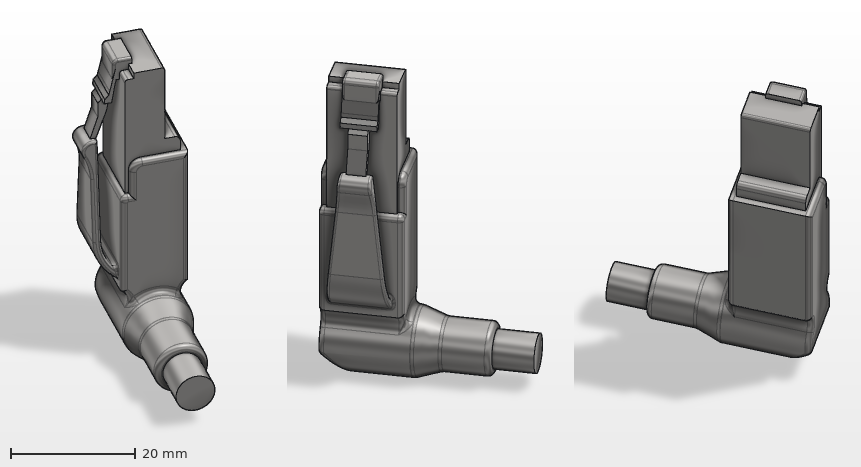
import cadquery as cq
import math

cable_radius = 3.3
cable_end = 35.0
sleeve_radius = 4.5
sleeve_end = 28.05
sleeve_end_round = 1.0
cone_start = 15.45
cone_end = 19.75
cone_blend = 1.7

bulb_radius = 5.95
housing_width = 14.0
housing_half_depth = 5.7
housing_top = 32.1
edge_round = 0.95
center_x = housing_width / 2
panel_front = -4.2
panel_round = 2.0
shoulder_top = 25.55
shoulder_round = 1.1
neck_half_depth = 4.45
neck_radius = 2.5
neck_center_y = neck_half_depth + neck_radius
neck_center_z = math.sqrt((bulb_radius + neck_radius)**2 - neck_center_y**2)
bulb_share = bulb_radius / (bulb_radius + neck_radius)
bulb_join_y = neck_center_y * bulb_share
bulb_join_z = neck_center_z * bulb_share
housing_bottom = neck_center_z + math.sqrt(neck_radius**2 - (neck_center_y - housing_half_depth)**2)
bulb_end = 15.1
collar_round = 1.05
corner_cut_height = -1.0
corner_cut_run = 5.25

plug_width = 11.6
plug_top = 48.7
plug_back = 1.95
plug_front = -4.8
plug_round = 0.55
plug_overlap = 2.8
rear_step_round = 0.95
rear_step_back = 4.6
rear_step_top = 34.8
notch_y = -3.3
notch_z = 47.65

latch_top = 55.8 - bulb_radius
latch_back = -2.75
latch_front = -5.95
latch_width = 6.1
latch_front_round = 0.9
latch_side_round = 0.45
latch_overlap = 0.55
latch_split_z = 41.75
latch_split_back = -6.15
latch_split_front = -7.4
arm_width = 3.25
arm_end_z = 32.9

lever_top_width = 5.3
lever_bottom_width = 10.95
lever_bottom_z = 7.1
lever_round = 0.45
lever_inner = -8.35
lever_outer = -9.7
lever_bend_z = 15.95
bend_radius = 7.55
waist_z = 27.5
knob_radius = 1.8
knob_y = -9.2
knob_z = 32.6
lever_top_z = knob_z + knob_radius
root_round = 0.5
root_y = -5.3

select_margin = 0.05


def side_sketch(x=0.0):
    """Workplane whose local axes are Y and Z, extruding toward +X."""
    return cq.Workplane("YZ", origin=(x, 0, 0))


def centered_prism(points, width):
    """Extrude a Y-Z polygon symmetrically about the middle of the housing."""
    return side_sketch(center_x).polyline(points).close().extrude(width / 2, both=True)


def make_housing():
    body = (
        side_sketch()
        .moveTo(bulb_join_y, bulb_join_z)
        .threePointArc((neck_half_depth, neck_center_z), (housing_half_depth, housing_bottom))
        .lineTo(housing_half_depth, housing_top)
        .lineTo(panel_front + panel_round, housing_top)
        .radiusArc((panel_front, housing_top - panel_round), -panel_round)
        .lineTo(panel_front, shoulder_top)
        .lineTo(-housing_half_depth + shoulder_round, shoulder_top)
        .radiusArc((-housing_half_depth, shoulder_top - shoulder_round), -shoulder_round)
        .lineTo(-housing_half_depth, housing_bottom)
        .threePointArc((-neck_half_depth, neck_center_z), (-bulb_join_y, bulb_join_z))
        .threePointArc((0, -bulb_radius), (bulb_join_y, bulb_join_z))
        .close()
        .extrude(housing_width)
    )
    corner_cut = (
        cq.Workplane("XZ")
        .polyline([(0, corner_cut_height), (corner_cut_run, -bulb_radius), (0, -bulb_radius)])
        .close()
        .extrude(bulb_radius, both=True)
    )
    body = body.cut(corner_cut)
    cut_face = body.faces(cq.NearestToPointSelector((corner_cut_run / 2, 0, -bulb_radius / 2)))
    body = body.faces("<X").add(cut_face).edges().fillet(edge_round)
    body = body.faces(">X").edges().fillet(edge_round)

    bulb_start = housing_width - edge_round
    bulb = side_sketch(bulb_start).circle(bulb_radius).extrude(bulb_end - bulb_start)
    body = body.union(bulb, clean=False)
    collar_edge = cq.selectors.BoxSelector(
        (housing_width - select_margin, -bulb_join_y, bulb_join_z),
        (housing_width + select_margin, bulb_join_y, housing_bottom),
        boundingbox=True,
    )
    return body.edges(collar_edge).fillet(collar_round)


def make_cable_exit():
    sleeve = (
        cq.Workplane("XY")
        .polyline([
            (bulb_end, 0), (bulb_end, bulb_radius), (cone_start, bulb_radius),
            (cone_end, sleeve_radius), (sleeve_end, sleeve_radius), (sleeve_end, 0),
        ])
        .close()
        .revolve(360, (0, 0, 0), (1, 0, 0))
    )
    reach = 2 * bulb_radius
    for x in (cone_start, cone_end):
        ring = cq.selectors.BoxSelector(
            (x - select_margin, -reach, -reach),
            (x + select_margin, reach, reach),
            boundingbox=True,
        )
        sleeve = sleeve.edges(ring).fillet(cone_blend)
    sleeve = sleeve.faces(">X").edges().fillet(sleeve_end_round)
    cable = side_sketch(bulb_end).circle(cable_radius).extrude(cable_end - bulb_end)
    return sleeve.union(cable)


def make_plug():
    bottom = shoulder_top - plug_overlap
    plug = centered_prism([
        (rear_step_back, bottom), (rear_step_back, rear_step_top), (plug_back, rear_step_top),
        (plug_back, plug_top), (notch_y, plug_top), (notch_y, notch_z),
        (plug_front, notch_z), (plug_front, bottom),
    ], plug_width)
    for y, z, radius in (
        (rear_step_back, rear_step_top, rear_step_round),
        (plug_back, plug_top, plug_round),
        (plug_front, notch_z, plug_round),
    ):
        plug = plug.edges(cq.NearestToPointSelector((center_x, y, z))).fillet(radius)
    return plug


def make_latch():
    head_bottom = notch_z - latch_overlap
    head = centered_prism([
        (latch_back, latch_top), (latch_front, latch_top), (latch_front, 46.15),
        (-6.5, 43.95), (-6.65, 43.3), (-7.3, 42.6), (latch_split_front, latch_split_z),
        (latch_split_back, latch_split_z), (-5.6, 45.2), (-5.35, 46.05), (plug_front, 46.1),
        (plug_front, head_bottom), (latch_back, head_bottom),
    ], latch_width)
    head = head.faces(">Z").edges("<Y").fillet(latch_front_round)
    head = head.faces(">Z").edges("<X or >X").fillet(latch_side_round)
    arm = centered_prism([
        (latch_split_back, latch_split_z), (latch_split_front, latch_split_z), (-8.05, 41.05),
        (-8.05, 38.4), (-9.3, 34.45), (-9.6, arm_end_z), (-8.75, arm_end_z),
        (lever_inner, 34.2), (-6.55, 39.45),
    ], arm_width)
    return head.union(arm)


def make_lever():
    waist_drop = knob_z - waist_z
    face_offset = knob_y - lever_outer
    waist_radius = (waist_drop**2 + face_offset**2 - knob_radius**2) / (2 * (knob_radius - face_offset))
    knob_share = knob_radius / (knob_radius + waist_radius)
    waist_center_y = lever_outer - waist_radius
    waist_mid = (
        waist_center_y + math.sqrt(waist_radius**2 - (waist_drop / 2)**2),
        waist_z + waist_drop / 2,
    )
    waist_end = (knob_y + (waist_center_y - knob_y) * knob_share, knob_z - waist_drop * knob_share)

    bend_center_y = lever_inner + bend_radius
    outer_bend_radius = bend_center_y - lever_outer

    def bend_point(radius, y):
        return y, lever_bend_z - math.sqrt(radius**2 - (bend_center_y - y)**2)

    profile = (
        side_sketch()
        .moveTo(*bend_point(bend_radius, root_y))
        .threePointArc(bend_point(bend_radius, lever_inner + 0.55), (lever_inner, lever_bend_z))
        .lineTo(lever_inner, knob_z + math.sqrt(knob_radius**2 - (lever_inner - knob_y)**2))
        .threePointArc((knob_y, lever_top_z), waist_end)
        .threePointArc(waist_mid, (lever_outer, waist_z))
        .lineTo(lever_outer, lever_bend_z)
        .threePointArc(bend_point(outer_bend_radius, lever_outer + 0.55), bend_point(outer_bend_radius, root_y))
        .close()
        .extrude(housing_width)
    )
    outline = (
        cq.Workplane("XZ")
        .polyline([
            (center_x - lever_bottom_width / 2, lever_bottom_z),
            (center_x + lever_bottom_width / 2, lever_bottom_z),
            (center_x + lever_top_width / 2, lever_top_z),
            (center_x - lever_top_width / 2, lever_top_z),
        ])
        .close()
        .extrude(2 * housing_width)
    )
    lever = profile.intersect(outline)
    for side in ("<X", ">X"):
        lever = lever.faces(side).edges("not >Y").fillet(lever_round)
    return lever


def join_lever(housing):
    joined = housing.union(make_lever(), clean=False)
    root_edges = cq.selectors.BoxSelector(
        (edge_round, -housing_half_depth - select_margin, housing_bottom + select_margin),
        (housing_width - edge_round, -housing_half_depth + select_margin, lever_bend_z),
        boundingbox=True,
    )
    return joined.edges(root_edges).fillet(root_round)


result = join_lever(make_housing())
for piece in (make_cable_exit(), make_plug(), make_latch()):
    result = result.union(piece, clean=False)